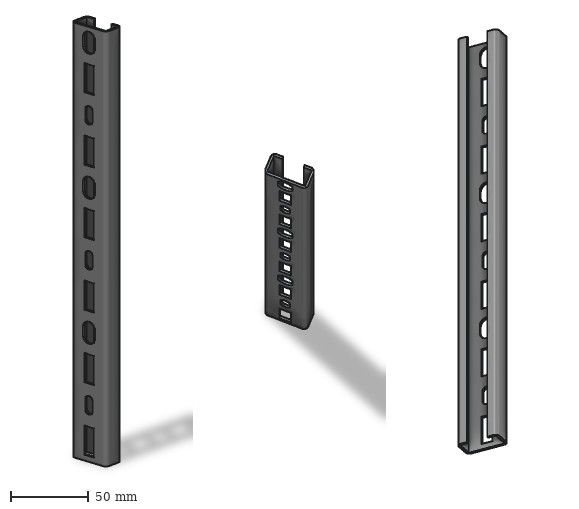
import cadquery as cq

length = 300.0
width = 30.0
depth = 15.0
thickness = 1.8
bend_radius = 3.0
lip_gap = 15.0

first_window_height = 14.0
windows_per_length = 6
window_pitch = length / windows_per_length
slot_pitch = 2 * window_pitch
small_slots = 3
large_slots = 3

window_width = 8.0
window_height = 20.0
small_slot_width = 6.5
small_slot_height = 13.0
large_slot_width = 10.5
large_slot_height = 15.3


def make_channel():
    """C-shaped channel along Z, with its web on -Y and its open mouth on +Y."""
    inner_width = width - 2 * thickness
    inner_depth = depth - 2 * thickness
    outer = cq.Workplane("XY").rect(width, depth).extrude(length)
    outer = outer.edges("|Z").fillet(bend_radius)
    inner = cq.Workplane("XY").rect(inner_width, inner_depth).extrude(length)
    mouth = cq.Workplane("XY").rect(lip_gap, depth / 2).extrude(length)
    mouth = mouth.translate((0, depth / 2, 0))
    return outer.cut(inner).cut(mouth)


def make_windows():
    """Evenly spaced rectangular cutters through the web."""
    centres = [(0, first_window_height + i * window_pitch) for i in range(windows_per_length)]
    return cq.Workplane("XZ").pushPoints(centres).rect(window_width, window_height).extrude(depth / 2)


def make_slots(slot_width, slot_height, first_height, count):
    """Vertical round-ended cutters through the web."""
    centres = [(0, first_height + i * slot_pitch) for i in range(count)]
    return cq.Workplane("XZ").pushPoints(centres).slot2D(slot_height, slot_width, 90).extrude(depth / 2)


first_small_slot = first_window_height + window_pitch / 2
first_large_slot = first_small_slot + window_pitch

result = make_channel().cut(make_windows())
result = result.cut(
    make_slots(small_slot_width, small_slot_height, first_small_slot, small_slots)
)
result = result.cut(
    make_slots(large_slot_width, large_slot_height, first_large_slot, large_slots)
)